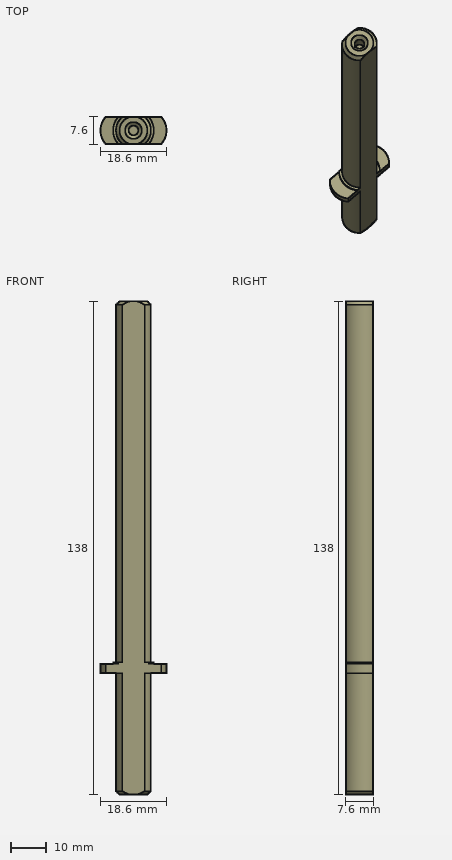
import cadquery as cq

ROD_LENGTH = 138.0
ROD_DIAMETER = 9.8
FLAT_THICKNESS = 7.6
END_CHAMFER = 1.0

FLANGE_LENGTH = 18.55
FLANGE_BOTTOM = 34.0
FLANGE_HEIGHT = 2.6
FLANGE_TIP_SAGITTA = 1.5

STEP_DIAMETER = 11.4
STEP_HEIGHT = 0.4

HOLE_DIAMETER = 2.7
HOLE_DEPTH = 5.0
COUNTERSINK_DIAMETER = 4.7
COUNTERSINK_ANGLE = 90.0


def flatted_disc(diameter, bottom, height):
    """Cylinder about Z trimmed to the two parallel flats."""
    slab = cq.Workplane("XY", origin=(0, 0, bottom)).box(
        diameter, FLAT_THICKNESS, height, centered=(True, True, False)
    )
    cylinder = cq.Workplane("XY", origin=(0, 0, bottom)).circle(diameter / 2).extrude(height)
    return slab.intersect(cylinder)


def rod():
    """Flatted bar with the round edges of both ends chamfered."""
    bar = flatted_disc(ROD_DIAMETER, 0, ROD_LENGTH)
    return bar.faces("<Z or >Z").edges("%CIRCLE").chamfer(END_CHAMFER)


def flange():
    """Cross bar with an arc on each tip."""
    half_length = FLANGE_LENGTH / 2
    half_width = FLAT_THICKNESS / 2
    shoulder = half_length - FLANGE_TIP_SAGITTA
    return (
        cq.Workplane("XY", origin=(0, 0, FLANGE_BOTTOM))
        .moveTo(-shoulder, -half_width)
        .lineTo(shoulder, -half_width)
        .threePointArc((half_length, 0), (shoulder, half_width))
        .lineTo(-shoulder, half_width)
        .threePointArc((-half_length, 0), (-shoulder, -half_width))
        .close()
        .extrude(FLANGE_HEIGHT)
    )


def flange_step():
    """Low raised step between the flange top and the rod."""
    return flatted_disc(STEP_DIAMETER, FLANGE_BOTTOM + FLANGE_HEIGHT, STEP_HEIGHT)


def drill_top_hole(body):
    """Blind countersunk hole on the rod axis, from the top end."""
    return (
        body.faces(">Z")
        .workplane(origin=(0, 0, ROD_LENGTH))
        .cskHole(HOLE_DIAMETER, COUNTERSINK_DIAMETER, COUNTERSINK_ANGLE, depth=HOLE_DEPTH)
    )


result = drill_top_hole(rod().union(flange()).union(flange_step()).clean())